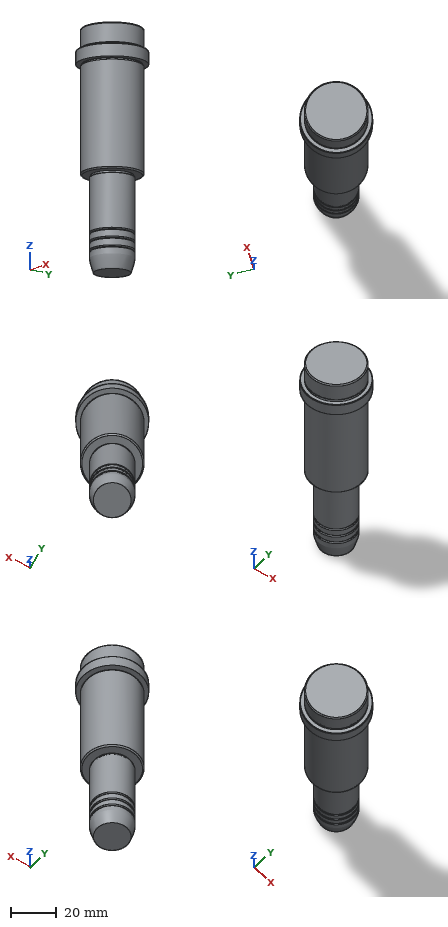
import cadquery as cq
import math

total_height = 110.0
collar_top = 100.0
collar_bottom = 94.0
body_bottom = 44.0
nose_top = 6.3

body_radius = 14.0
collar_radius = 16.0
stem_radius = 10.0
tip_radius = 8.5

cap_break = 0.5
body_break = 0.7
collar_break = 0.3
tip_break_height = 0.5
tip_break_inset = 0.2

nose_bulge = 0.16

groove_width = 1.0
groove_depth = 0.5
body_floor_width = 0.2
stem_groove_count = 3
stem_groove_pitch = 4.0
top_stem_groove_top = 18.2


def cylinder(radius, bottom, top):
    return cq.Workplane("XY").workplane(offset=bottom).circle(radius).extrude(top - bottom)


def make_nose():
    """Gently rounded lead-in that narrows from the stem to a chamfered tip."""
    rise = nose_top - tip_break_height
    flare = stem_radius - tip_radius
    slant = math.hypot(rise, flare)
    middle = (
        (tip_radius + stem_radius) / 2 + nose_bulge * rise / slant,
        (tip_break_height + nose_top) / 2 - nose_bulge * flare / slant,
    )
    return (
        cq.Workplane("XZ")
        .moveTo(0, 0)
        .lineTo(tip_radius - tip_break_inset, 0)
        .lineTo(tip_radius, tip_break_height)
        .threePointArc(middle, (stem_radius, nose_top))
        .lineTo(0, nose_top)
        .close()
        .revolve(360, (0, 0), (0, 1))
    )


def make_groove(surface_radius, top, floor_start, floor_end):
    """Ring that cuts a groove whose floor lies between two distances below its top."""
    floor_radius = surface_radius - groove_depth
    outline = cq.Workplane("XZ").moveTo(surface_radius, top).lineTo(floor_radius, top - floor_start)
    if floor_end > floor_start:
        outline = outline.lineTo(floor_radius, top - floor_end)
    return (
        outline.lineTo(surface_radius, top - groove_width)
        .close()
        .revolve(360, (0, 0), (0, 1))
    )


relief_bottom = body_bottom - groove_width
stem = make_nose().union(cylinder(stem_radius, nose_top, relief_bottom))
stem = stem.union(cylinder(stem_radius - groove_depth, relief_bottom, body_bottom))
for index in range(stem_groove_count):
    groove_top = top_stem_groove_top - index * stem_groove_pitch
    stem = stem.cut(make_groove(stem_radius, groove_top, groove_width / 2, groove_width / 2))

body = cylinder(body_radius, body_bottom, total_height)
body = body.faces("<Z").edges().chamfer(body_break)
body = body.faces(">Z").edges().chamfer(cap_break)
for groove_top in (collar_top + groove_width, collar_bottom):
    body = body.cut(make_groove(body_radius, groove_top, 0, body_floor_width))

collar = cylinder(collar_radius, collar_bottom, collar_top)
collar = collar.faces(">Z").edges().chamfer(collar_break)

result = stem.union(body).union(collar)